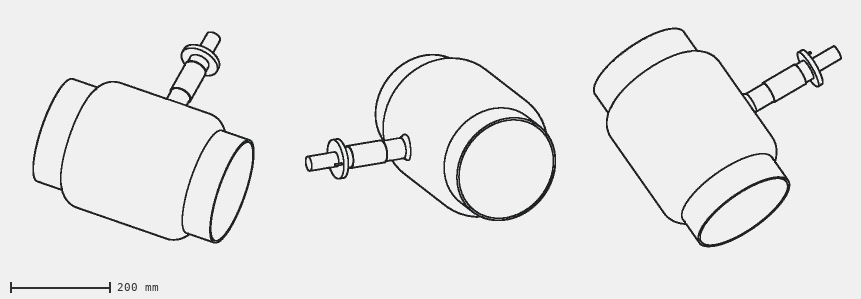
import cadquery as cq
import math

length = 390.0
bore_radius = 210.0 / 2
pipe_radius = 219.5 / 2
shell_radius = 267.0 / 2
shell_straight_half = 98.5
shell_half = 134.0

total_width = 482
neck_radius = 42.0 / 2
sleeve_radius = 46.0 / 2
sleeve_start = 184.0
sleeve_end = 259.5
flange_radius = 80.0 / 2
flange_thickness = 10.0
shaft_radius = 30.0 / 2
shaft_length = 60.0
shaft_end = total_width - shell_radius
flange_end = shaft_end - shaft_length
flange_start = flange_end - flange_thickness

collar_top = 141.5
collar_base = 130
collar_base_radius = 27.0

pin_radius = 4.0 / 2
pin_length = 14.5
pin_offset = 29

shoulder_run = shell_half - shell_straight_half
shoulder_drop = shell_radius - pipe_radius
shoulder_arc_radius = (shoulder_run**2 + shoulder_drop**2) / (2 * shoulder_drop)
shoulder_half_angle = math.asin(shoulder_run / shoulder_arc_radius) / 2
shoulder_mid_x = shell_straight_half + shoulder_arc_radius * math.sin(shoulder_half_angle)
shoulder_mid_radius = shell_radius - shoulder_arc_radius * (1 - math.cos(shoulder_half_angle))


def make_body():
    """Solid pipe with the wider, round-shouldered shell around its middle."""
    return (
        cq.Workplane("XY")
        .moveTo(-length / 2, 0)
        .lineTo(-length / 2, pipe_radius)
        .lineTo(-shell_half, pipe_radius)
        .threePointArc((-shoulder_mid_x, shoulder_mid_radius), (-shell_straight_half, shell_radius))
        .lineTo(shell_straight_half, shell_radius)
        .threePointArc((shoulder_mid_x, shoulder_mid_radius), (shell_half, pipe_radius))
        .lineTo(length / 2, pipe_radius)
        .lineTo(length / 2, 0)
        .close()
        .revolve(360, (0, 0, 0), (1, 0, 0))
    )


def make_cylinder(radius, start, end, x=0):
    """Cylinder parallel to Y between two distances from the pipe axis."""
    axis_start = cq.Vector(x, start, 0)
    return cq.Workplane(cq.Solid.makeCylinder(radius, end - start, axis_start, cq.Vector(0, 1, 0)))


def make_collar():
    """Cone widening from the neck down into the shell."""
    slope = (collar_base_radius - neck_radius) / (collar_top - collar_base)
    root = pipe_radius
    root_radius = neck_radius + slope * (collar_top - root)
    cone = cq.Solid.makeCone(
        root_radius, neck_radius, collar_top - root, cq.Vector(0, root, 0), cq.Vector(0, 1, 0)
    )
    return cq.Workplane(cone)


def make_stem():
    """Neck, sleeve, flange and shaft on one axis, with the stop pin beside them."""
    neck = make_cylinder(neck_radius, pipe_radius, flange_start)
    sleeve = make_cylinder(sleeve_radius, sleeve_start, sleeve_end)
    flange = make_cylinder(flange_radius, flange_start, flange_end)
    shaft = make_cylinder(shaft_radius, flange_end, shaft_end)
    pin = make_cylinder(pin_radius, flange_end, flange_end + pin_length, -pin_offset)
    return neck.union(sleeve).union(flange).union(shaft).union(pin)


bore = cq.Workplane("YZ").circle(bore_radius).extrude(length / 2, both=True)

result = make_body().union(make_collar()).union(make_stem()).cut(bore)